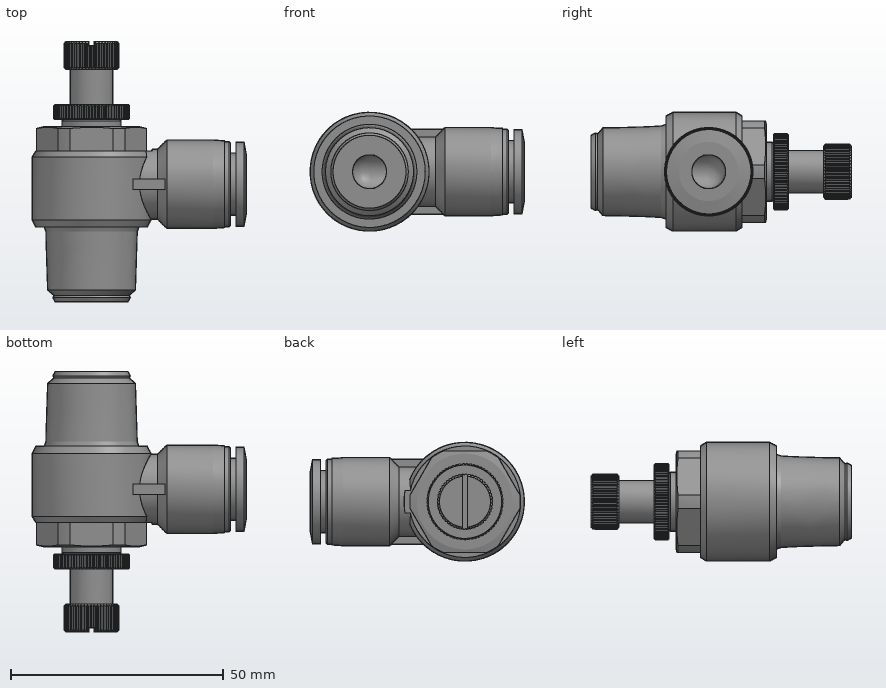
import cadquery as cq
import math


total_length = 61.3
total_width = 50.45
body_diameter = 28.0
body_radius = body_diameter / 2

screw_top = 33.6
thread_end = screw_top - total_length
body_top = 7.85
body_bottom = -10.1

body_end_radius = 13.1
body_top_chamfer = 1.4
body_bottom_chamfer = 1.7

thread_flare_radius = 11.15
thread_flare_length = 1.05
thread_large_radius = 10.8
thread_small_radius = 10.35
thread_chamfer_start = thread_end + 2.8
tip_groove_level = thread_end + 1.55
tip_groove_radius = 8.9
tip_lip_level = thread_end + 1.05
tip_lip_radius = 9.15
tip_end_radius = 8.6

hex_top = 13.55
hex_across_flats = 23.95
hex_corner_radius = 13.0
hex_bevel_radius = 11.3
hex_bevel_height = 0.4

collar_radius = 7.0
collar_chamfer = 0.3

nut_bottom = 15.2
nut_height = 3.55
nut_top = nut_bottom + nut_height
nut_radius = 8.95
nut_chamfer = 0.3
nut_teeth = 65

stem_radius = 5.0
knob_height = 6.55
knob_radius = 6.5
knob_chamfer = 0.5
knob_teeth = 50
knurl_depth = 0.25
knurl_land_share = 0.4
slot_width = 1.2
slot_depth = 1.0

port_end = total_width - body_radius
neck_radius = 8.3
neck_end = 15.6
sleeve_radius = 10.4
sleeve_start = neck_end + sleeve_radius - neck_radius
sleeve_taper_start = 28.7
sleeve_taper_end = 31.3
sleeve_taper_radius = 10.25
sleeve_rim_radius = 10.05
sleeve_rim_chamfer = 0.35
sleeve_end = 32.75
release_neck_radius = 7.35
release_flange_start = 33.95
release_flange_radius = 9.9
release_bevel_start = port_end - 0.55
release_end_radius = 7.0

neck_relief_radius = 14.35

rib_thickness = 2.45
rib_half_span = 10.05
rib_start = 7.35
rib_end = neck_end + rib_half_span - neck_radius

bore_radius = 4.0


def turned_about_y(points):
    """Solid of revolution about Y from an outline of (radius, y) points."""
    return cq.Workplane("XY").polyline(points).close().revolve(360, (0, 0, 0), (0, 1, 0))


def turned_about_x(points):
    """Solid of revolution about X from an outline of (x, radius) points."""
    return cq.Workplane("XY").polyline(points).close().revolve(360, (0, 0, 0), (1, 0, 0))


def plane_across_y(level):
    """Work plane square to Y at the given level, extruding toward +Y."""
    return cq.Workplane(cq.Plane(origin=(0, level, 0), xDir=(1, 0, 0), normal=(0, 1, 0)))


def cylinder_along_y(radius, bottom, top):
    return plane_across_y(bottom).circle(radius).extrude(top - bottom)


def chamfered_disc(radius, bottom, top, chamfer):
    return turned_about_y([
        (0, bottom),
        (radius - chamfer, bottom),
        (radius, bottom + chamfer),
        (radius, top - chamfer),
        (radius - chamfer, top),
        (0, top),
    ])


def rim_point(radius, angle):
    return (radius * math.cos(angle), radius * math.sin(angle))


def knurled_disc(radius, bottom, top, chamfer, teeth):
    """Chamfered disc with flat-topped teeth parted by V grooves around its rim."""
    pitch_angle = 2 * math.pi / teeth
    outline = []
    for index in range(teeth):
        land_start = index * pitch_angle
        land_end = land_start + knurl_land_share * pitch_angle
        groove_middle = (land_end + land_start + pitch_angle) / 2
        outline.append(rim_point(radius, land_start))
        outline.append(rim_point(radius, land_end))
        outline.append(rim_point(radius - knurl_depth, groove_middle))
    teeth_prism = plane_across_y(bottom).polyline(outline).close().extrude(top - bottom)
    return teeth_prism.intersect(chamfered_disc(radius, bottom, top, chamfer))


def make_body():
    return turned_about_y([
        (0, body_bottom),
        (body_end_radius, body_bottom),
        (body_radius, body_bottom + body_bottom_chamfer),
        (body_radius, body_top - body_top_chamfer),
        (body_end_radius, body_top),
        (0, body_top),
    ])


def make_thread():
    return turned_about_y([
        (0, thread_end),
        (tip_end_radius, thread_end),
        (tip_lip_radius, tip_lip_level),
        (tip_groove_radius, tip_groove_level),
        (thread_small_radius, thread_chamfer_start),
        (thread_large_radius, body_bottom - thread_flare_length),
        (thread_flare_radius, body_bottom),
        (0, body_bottom),
    ])


def make_hex_cap():
    corner_to_corner = hex_across_flats / math.cos(math.pi / 6)
    prism = plane_across_y(body_top).polygon(6, corner_to_corner).extrude(hex_top - body_top)
    rounding = turned_about_y([
        (0, body_top),
        (hex_corner_radius, body_top),
        (hex_corner_radius, hex_top - hex_bevel_height),
        (hex_bevel_radius, hex_top),
        (0, hex_top),
    ])
    return prism.intersect(rounding)


def make_collar():
    return turned_about_y([
        (0, hex_top),
        (collar_radius, hex_top),
        (collar_radius, nut_bottom - collar_chamfer),
        (collar_radius - collar_chamfer, nut_bottom),
        (0, nut_bottom),
    ])


def make_screw():
    knob_bottom = screw_top - knob_height
    stem = cylinder_along_y(stem_radius, nut_top, knob_bottom)
    knob = knurled_disc(knob_radius, knob_bottom, screw_top, knob_chamfer, knob_teeth)
    slot = (
        plane_across_y(screw_top - slot_depth)
        .rect(slot_width, 2 * knob_radius)
        .extrude(slot_depth)
    )
    return stem.union(knob.cut(slot))


def make_port():
    port = turned_about_x([
        (0, 0),
        (0, neck_radius),
        (neck_end, neck_radius),
        (sleeve_start, sleeve_radius),
        (sleeve_taper_start, sleeve_radius),
        (sleeve_taper_end, sleeve_taper_radius),
        (sleeve_taper_end, sleeve_rim_radius),
        (sleeve_end - sleeve_rim_chamfer, sleeve_rim_radius),
        (sleeve_end, sleeve_rim_radius - sleeve_rim_chamfer),
        (sleeve_end, release_neck_radius),
        (release_flange_start, release_neck_radius),
        (release_flange_start, release_flange_radius),
        (release_bevel_start, release_flange_radius),
        (port_end, release_end_radius),
        (port_end, 0),
    ])
    return port.cut(cylinder_along_y(neck_relief_radius, body_top, hex_top))


def make_ribs():
    return cq.Workplane("XY").box(
        rib_end - rib_start, rib_thickness, 2 * rib_half_span
    ).translate(((rib_start + rib_end) / 2, 0, 0))


def make_passage():
    """Bore from the threaded end that turns through a spherical elbow and leaves along the port."""
    inlet = cylinder_along_y(bore_radius, thread_end, 0)
    outlet = cq.Workplane("YZ").circle(bore_radius).extrude(port_end)
    elbow = cq.Workplane("XY").sphere(bore_radius)
    return inlet.union(outlet).union(elbow)


result = make_body()
result = result.union(make_thread())
result = result.union(make_port())
result = result.union(make_ribs())
result = result.union(make_hex_cap())
result = result.union(make_collar())
result = result.union(knurled_disc(nut_radius, nut_bottom, nut_top, nut_chamfer, nut_teeth))
result = result.union(make_screw())
result = result.cut(make_passage())